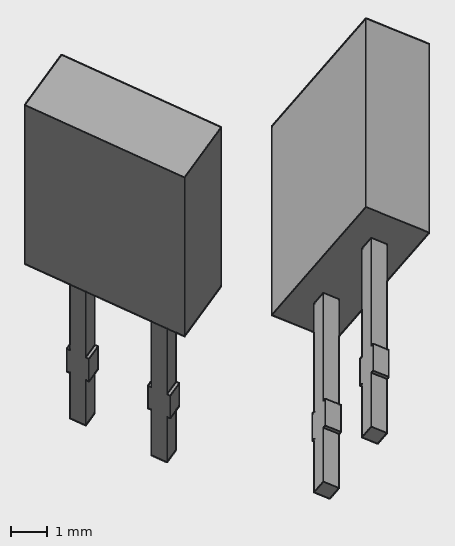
import cadquery as cq

body_width = 5.0
body_depth = 2.0
body_height = 7.0

lead_pitch = 2.54
lead_size = 0.5
lead_length = 7.0

stop_width = 0.7
stop_height = 1.0
stop_above_tip = 2.0


def make_block(width, depth, height, center_x, bottom_z):
    """Box centred on center_x and Y = 0, with its lower face at bottom_z."""
    return (
        cq.Workplane("XY", origin=(center_x, 0, bottom_z))
        .box(width, depth, height, centered=(True, True, False))
    )


def make_lead(center_x):
    """Straight square lead with its widened stop."""
    tip_z = -lead_length
    shank = make_block(lead_size, lead_size, lead_length, center_x, tip_z)
    stop = make_block(stop_width, lead_size, stop_height, center_x, tip_z + stop_above_tip)
    return shank.union(stop)


result = make_block(body_width, body_depth, body_height, 0, 0)
for side in (-1, 1):
    result = result.union(make_lead(side * lead_pitch / 2))